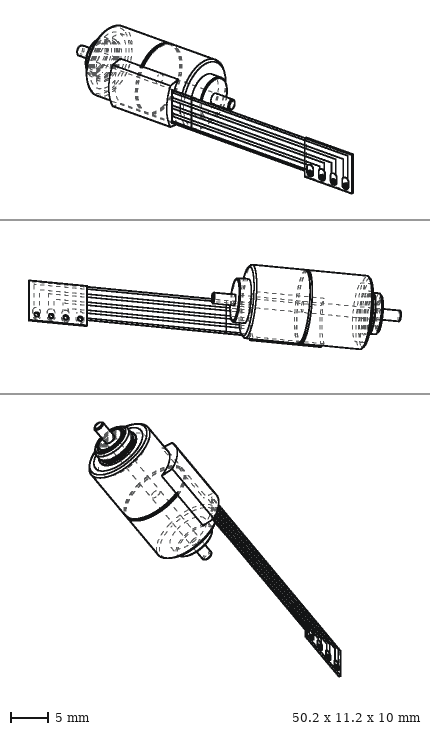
import cadquery as cq
import math


overall_length = 50.2
shaft_tip = -4.75

shaft_radius = 0.75
shaft_end = 21.2
shaft_chamfer = 0.15

housing_radius = 5.0
housing_chamfer = 0.3
joint_x = 8.8
joint_groove_width = 0.3
joint_groove_depth = 0.15
rear_face_x = 16.5
rear_boss_radius = 3.0
rear_boss_end = 18.15
rear_boss_chamfer = 0.15

plug_radius = 4.0
plug_depth = 1.0
boss_radius = 3.0
boss_height = 0.3
step_radius = 2.7
step_height = 0.15
neck_radius = 2.5
rim_radius = 2.8
rim_back_x = -0.75
rim_front_x = -1.85
rim_chamfer = 0.3
hub_front_x = -1.95
ring_groove_outer = 2.2
hub_radius = 1.9
ring_groove_depth = 0.15

cover_start = 5.0
cover_end = 14.85
cover_radius = 6.25
cover_root_half_width = 3.4
cover_edge_half_width = 3.15

flex_end = shaft_tip + overall_length
flex_front_y = -5.1
film_thickness = 0.05
flex_middle_z = -0.15
film_width = 5.0
root_thickness = 0.1
tab_length = 8.0
tab_thickness = 0.3
tab_bottom_z = -3.55

track_count = 4
track_width = 0.75
track_pitch = 1.2
track_height = 0.02
pad_height = 0.04
pad_pitch = 2.0
last_pad_to_end = 1.05
pad_radius = 0.53
pad_hole_radius = 0.33
pad_hole_z = -2.64
pad_slot_length = 0.7


def turned(profile):
    """Solid of revolution about the X axis from (x, radius) points."""
    return cq.Workplane("XZ").polyline(profile).close().revolve(360, (0, 0, 0), (1, 0, 0))


def block(x_range, y_range, z_range):
    """Box spanning the given ranges."""
    lows, highs = zip(x_range, y_range, z_range)
    sizes = [high - low for low, high in zip(lows, highs)]
    return cq.Workplane("XY").box(*sizes, centered=False).translate(lows)


def make_shaft():
    tip_radius = shaft_radius - shaft_chamfer
    return turned([
        (shaft_tip, 0),
        (shaft_tip, tip_radius),
        (shaft_tip + shaft_chamfer, shaft_radius),
        (shaft_end - shaft_chamfer, shaft_radius),
        (shaft_end, tip_radius),
        (shaft_end, 0),
    ])


def make_front_flange():
    """Plug, boss, stepped neck and chamfered rim with a ring groove around its central hub."""
    boss_front_x = -boss_height
    step_front_x = boss_front_x - step_height
    groove_floor_x = rim_front_x + ring_groove_depth
    return turned([
        (plug_depth, shaft_radius),
        (plug_depth, plug_radius),
        (0, plug_radius),
        (0, boss_radius),
        (boss_front_x, boss_radius),
        (boss_front_x, step_radius),
        (step_front_x, step_radius),
        (step_front_x, neck_radius),
        (rim_back_x, neck_radius),
        (rim_back_x, rim_radius),
        (rim_front_x + rim_chamfer, rim_radius),
        (rim_front_x, rim_radius - rim_chamfer),
        (rim_front_x, ring_groove_outer),
        (groove_floor_x, ring_groove_outer),
        (groove_floor_x, hub_radius),
        (hub_front_x, hub_radius),
        (hub_front_x, shaft_radius),
    ])


def make_front_housing():
    groove_start = joint_x - joint_groove_width
    groove_radius = housing_radius - joint_groove_depth
    return turned([
        (plug_depth, shaft_radius),
        (plug_depth, plug_radius),
        (0, plug_radius),
        (0, housing_radius - housing_chamfer),
        (housing_chamfer, housing_radius),
        (groove_start, housing_radius),
        (groove_start, groove_radius),
        (joint_x, groove_radius),
        (joint_x, shaft_radius),
    ])


def make_rear_housing():
    return turned([
        (joint_x, shaft_radius),
        (joint_x, housing_radius),
        (rear_face_x - housing_chamfer, housing_radius),
        (rear_face_x, housing_radius - housing_chamfer),
        (rear_face_x, rear_boss_radius),
        (rear_boss_end - rear_boss_chamfer, rear_boss_radius),
        (rear_boss_end, rear_boss_radius - rear_boss_chamfer),
        (rear_boss_end, shaft_radius),
    ])


def make_cover():
    """Saddle on the housings: concentric inner and outer arcs joined by tapering sides."""
    root_y = -math.sqrt(housing_radius**2 - cover_root_half_width**2)
    edge_y = -math.sqrt(cover_radius**2 - cover_edge_half_width**2)
    return (
        cq.Workplane("YZ", origin=(cover_start, 0, 0))
        .moveTo(root_y, cover_root_half_width)
        .lineTo(edge_y, cover_edge_half_width)
        .threePointArc((-cover_radius, 0), (edge_y, -cover_edge_half_width))
        .lineTo(root_y, -cover_root_half_width)
        .threePointArc((-housing_radius, 0), (root_y, cover_root_half_width))
        .close()
        .extrude(cover_end - cover_start)
    )


def pad_x(index):
    """X of the pad that belongs to a track; index 0 is the top track and the farthest pad."""
    return flex_end - last_pad_to_end - index * pad_pitch


def make_track(index):
    """Raised conductor that runs along the film and turns down to its pad."""
    half_width = track_width / 2
    middle_z = flex_middle_z + ((track_count - 1) / 2 - index) * track_pitch
    top_z = middle_z + half_width
    y_range = (flex_front_y - track_height, flex_front_y)
    run = block((cover_end, pad_x(index)), y_range, (middle_z - half_width, top_z))
    is_level_with_pad = index == track_count - 1
    if is_level_with_pad:
        return run
    drop = block((pad_x(index) - half_width, pad_x(index) + half_width), y_range, (pad_hole_z, top_z))
    return run.union(drop)


def make_pad(index):
    """Upright obround whose lower end is concentric with the solder hole."""
    return (
        cq.Workplane("XZ", origin=(pad_x(index), flex_front_y, pad_hole_z + pad_slot_length / 2))
        .slot2D(pad_slot_length + 2 * pad_radius, 2 * pad_radius, 90)
        .extrude(pad_height)
    )


def make_pad_hole(index):
    return (
        cq.Workplane("XZ", origin=(pad_x(index), flex_front_y + tab_thickness, pad_hole_z))
        .circle(pad_hole_radius)
        .extrude(tab_thickness + pad_height)
    )


def make_flex_circuit():
    """Thin film, thicker at the motor and at the solder tab, with tracks and pads on its front."""
    top_z = flex_middle_z + film_width / 2
    bottom_z = flex_middle_z - film_width / 2
    film_y = (flex_front_y, flex_front_y + film_thickness)
    root_y = (flex_front_y, flex_front_y + root_thickness)
    tab_y = (flex_front_y, flex_front_y + tab_thickness)

    film = block((cover_end, flex_end), film_y, (bottom_z, top_z))
    root = block((cover_end, rear_boss_end), root_y, (bottom_z, top_z))
    tab = block((flex_end - tab_length, flex_end), tab_y, (tab_bottom_z, top_z))
    circuit = film.union(root).union(tab)
    for index in range(track_count):
        circuit = circuit.union(make_track(index)).union(make_pad(index)).cut(make_pad_hole(index))
    return circuit


shaft = make_shaft()
front_flange = make_front_flange()
front_housing = make_front_housing()
rear_housing = make_rear_housing()
cover = make_cover()
flex_circuit = make_flex_circuit()

result = cq.Compound.makeCompound([
    shaft.val(),
    front_flange.val(),
    front_housing.val(),
    rear_housing.val(),
    cover.val(),
    flex_circuit.val(),
])